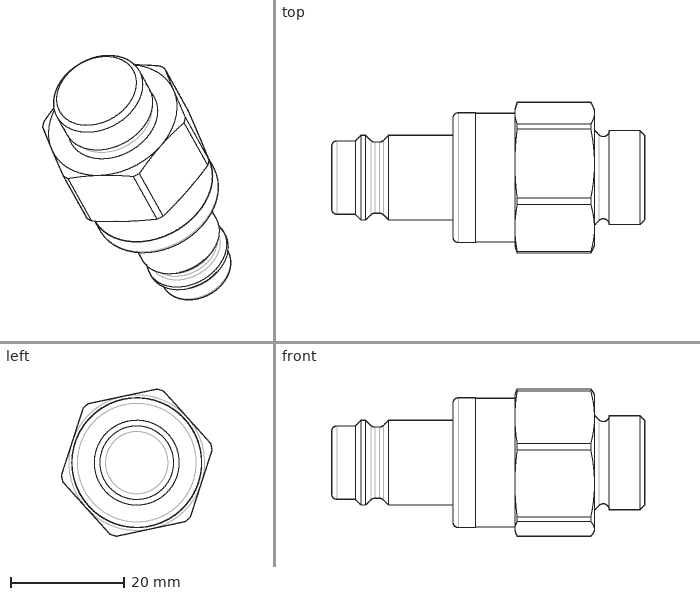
import cadquery as cq
import math

total_length = 55.4

tip_radius = 13.0 / 2
plug_radius = 15.0 / 2
groove_radius = 12.65 / 2
edge_round = 1.0
step_start = 4.2
groove_start = 6.05
groove_end = 10.1
groove_corner_round = 1.0

collar_start = 21.45
collar_step = 25.45
collar_radius = 23.0 / 2
collar_rear_radius = 22.8 / 2

hex_start = 32.4
hex_end = 46.5
across_flats = 24.0
hex_corner_radius = 13.5
hex_turn = -12.0
front_chamfer_angle = 15.0
rear_chamfer_angle = 23.0

spigot_start = 49.1
spigot_radius = 16.7 / 2
undercut_radius = 1.05
spigot_chamfer = 0.9


def revolve_about_x(profile):
    return profile.close().revolve(360, (0, 0, 0), (1, 0, 0))


def make_nose_and_collar():
    step_rise = plug_radius - tip_radius
    groove_depth = plug_radius - groove_radius
    floor_start = groove_start + groove_depth
    floor_end = groove_end - groove_depth
    tangent = groove_corner_round * math.tan(math.radians(22.5))
    slope = tangent * math.sqrt(0.5)
    mid_run = groove_corner_round * math.sin(math.radians(22.5))
    mid_rise = groove_corner_round * (1 - math.cos(math.radians(22.5)))
    arc_start = floor_start + tangent
    arc_end = floor_end - tangent
    quarter_mid = edge_round * (1 - math.sqrt(0.5))

    profile = (
        cq.Workplane("XY")
        .moveTo(0, 0)
        .lineTo(0, tip_radius - edge_round)
        .threePointArc((quarter_mid, tip_radius - quarter_mid), (edge_round, tip_radius))
        .lineTo(step_start, tip_radius)
        .lineTo(step_start + step_rise, plug_radius)
        .lineTo(groove_start, plug_radius)
        .lineTo(floor_start - slope, groove_radius + slope)
        .threePointArc((arc_start - mid_run, groove_radius + mid_rise), (arc_start, groove_radius))
        .lineTo(arc_end, groove_radius)
        .threePointArc(
            (arc_end + mid_run, groove_radius + mid_rise), (floor_end + slope, groove_radius + slope)
        )
        .lineTo(groove_end, plug_radius)
        .lineTo(collar_start, plug_radius)
        .lineTo(collar_start, collar_radius - edge_round)
        .threePointArc(
            (collar_start + quarter_mid, collar_radius - quarter_mid),
            (collar_start + edge_round, collar_radius),
        )
        .lineTo(collar_step, collar_radius)
        .lineTo(collar_step, collar_rear_radius)
        .lineTo(hex_start, collar_rear_radius)
        .lineTo(hex_start, 0)
    )
    return revolve_about_x(profile)


def make_hexagon():
    inner_radius = across_flats / 2
    hexagon = (
        cq.Workplane("YZ", origin=(hex_start, 0, 0))
        .polygon(6, across_flats / math.cos(math.radians(30)))
        .extrude(hex_end - hex_start)
        .rotate((0, 0, 0), (1, 0, 0), hex_turn)
    )
    corner_depth = hex_corner_radius - inner_radius
    front_run = corner_depth * math.tan(math.radians(front_chamfer_angle))
    rear_run = corner_depth * math.tan(math.radians(rear_chamfer_angle))
    blank = (
        cq.Workplane("XY")
        .moveTo(hex_start, 0)
        .lineTo(hex_start, inner_radius)
        .lineTo(hex_start + front_run, hex_corner_radius)
        .lineTo(hex_end - rear_run, hex_corner_radius)
        .lineTo(hex_end, inner_radius)
        .lineTo(hex_end, 0)
    )
    return hexagon.intersect(revolve_about_x(blank))


def make_spigot():
    arc_center = spigot_start - undercut_radius
    diagonal = undercut_radius * math.sqrt(0.5)
    cone_end = arc_center - diagonal
    cone_end_radius = spigot_radius - diagonal
    cone_start_radius = cone_end_radius + (cone_end - hex_end)
    profile = (
        cq.Workplane("XY")
        .moveTo(hex_end, 0)
        .lineTo(hex_end, cone_start_radius)
        .lineTo(cone_end, cone_end_radius)
        .threePointArc((arc_center, spigot_radius - undercut_radius), (spigot_start, spigot_radius))
        .lineTo(total_length - spigot_chamfer, spigot_radius)
        .lineTo(total_length, spigot_radius - spigot_chamfer)
        .lineTo(total_length, 0)
    )
    return revolve_about_x(profile)


result = make_nose_and_collar().union(make_hexagon()).union(make_spigot())